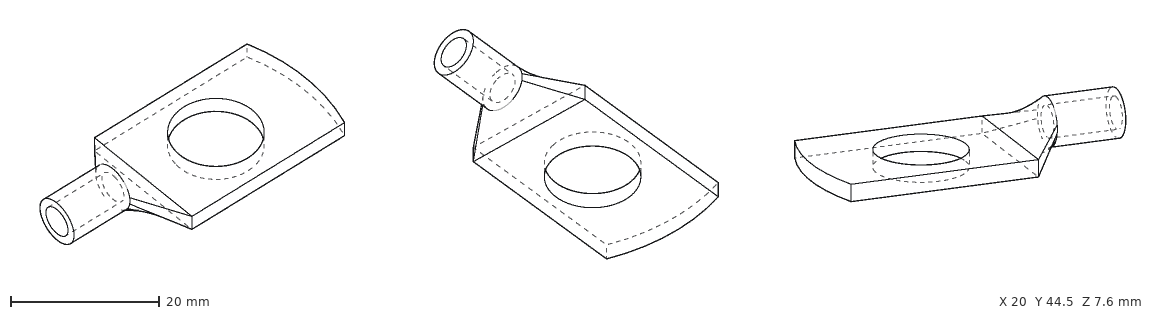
import cadquery as cq
import math

palm_width = 20.0
palm_thickness = 2.5
total_length = 44.45
end_bulge = 1.7
hole_diameter = 13.0
hole_to_end = 16.0

barrel_diameter = 7.0
bore_diameter = 4.55
barrel_length = 10.0
total_height = 7.6

neck_length = 5.4

barrel_radius = barrel_diameter / 2
barrel_axis_z = total_height - barrel_radius
half_width = palm_width / 2
palm_start = barrel_length + neck_length


def make_palm():
    """Plate with a bowed far end and a stud hole."""
    plate = (
        cq.Workplane("XY")
        .moveTo(-half_width, palm_start)
        .lineTo(half_width, palm_start)
        .lineTo(half_width, total_length - end_bulge)
        .threePointArc((0, total_length), (-half_width, total_length - end_bulge))
        .close()
        .extrude(palm_thickness)
    )
    stud_hole = (
        cq.Workplane("XY")
        .center(0, total_length - hole_to_end)
        .circle(hole_diameter / 2)
        .extrude(palm_thickness)
    )
    return plate.cut(stud_hole)


def make_barrel():
    """Tube along Y, bored as deep as the barrel is long."""
    return (
        cq.Workplane("XZ", origin=(0, barrel_length, barrel_axis_z))
        .circle(barrel_radius)
        .circle(bore_diameter / 2)
        .extrude(barrel_length)
    )


def make_neck():
    """Solid blend from the round barrel to the rectangular palm section."""
    side_half_angle = math.pi / 2 * palm_thickness / (palm_width + palm_thickness)
    corner_x = barrel_radius * math.cos(side_half_angle)
    corner_z = barrel_radius * math.sin(side_half_angle)
    return (
        cq.Workplane("XZ", origin=(0, barrel_length, barrel_axis_z))
        .moveTo(-corner_x, -corner_z)
        .threePointArc((0, -barrel_radius), (corner_x, -corner_z))
        .threePointArc((barrel_radius, 0), (corner_x, corner_z))
        .threePointArc((0, barrel_radius), (-corner_x, corner_z))
        .threePointArc((-barrel_radius, 0), (-corner_x, -corner_z))
        .close()
        .workplane(offset=-neck_length)
        .moveTo(-half_width, -barrel_axis_z)
        .lineTo(half_width, -barrel_axis_z)
        .lineTo(half_width, palm_thickness - barrel_axis_z)
        .lineTo(-half_width, palm_thickness - barrel_axis_z)
        .close()
        .loft(ruled=True)
    )


result = make_palm().union(make_neck()).union(make_barrel())